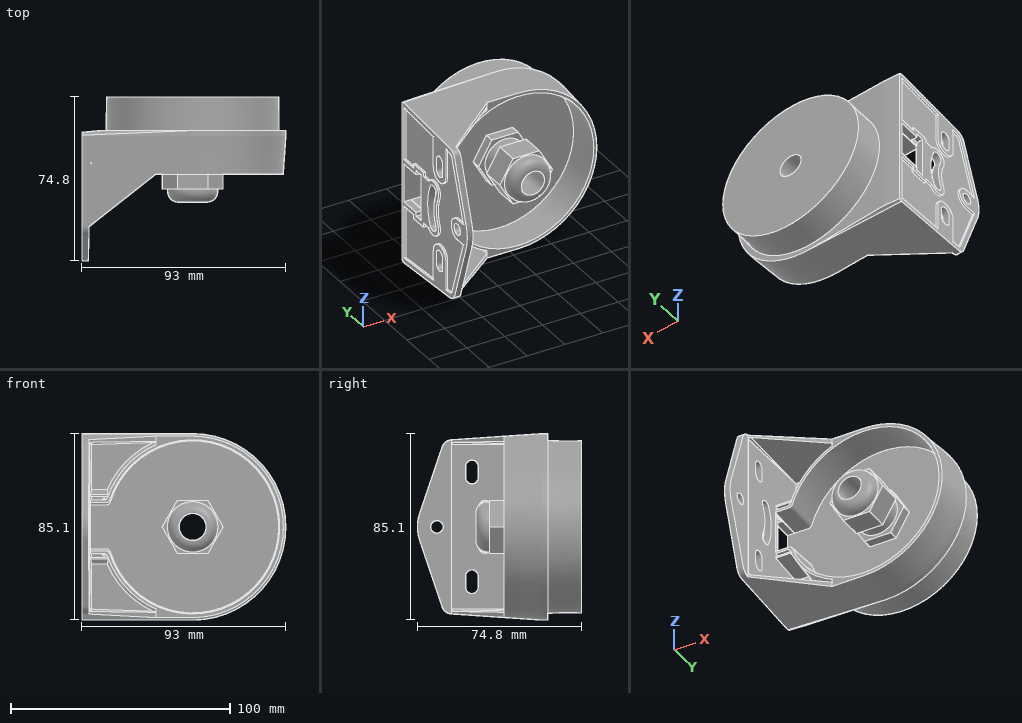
import cadquery as cq
import math


cup_radius = 42.545
back_radius = 42.45
plate_x = -50.5
seam_depth = 2.7
rim_depth = 20.0
body_slope = math.tan(math.radians(3.9))
bracket_depth = 59.5
end_radius = cup_radius - (bracket_depth - seam_depth) * body_slope
gusset_top_x = -16.8
gusset_end_depth = 43.9
plate_thickness = 3.3
plate_tip_thickness = 3.0
back_chamfer_depth = 0.8
back_chamfer_width = 8.5
edge_wedge_depth = 2.2
edge_wedge_height = 1.0

drum_length = 15.35
drum_root_radius = 39.45
drum_end_radius = 39.3

plate_corner_round = 5.0
plate_slant = math.radians(18.7)
plate_half_at_back = cup_radius + seam_depth * body_slope
nose_round = 19.0
plate_apex_depth = bracket_depth + nose_round * (1 / math.cos(plate_slant) - 1)
slant_slope = math.tan(plate_slant)
plate_corner_z = (plate_half_at_back - body_slope * plate_apex_depth) / (1 - body_slope * slant_slope)
plate_corner_depth = plate_apex_depth - plate_corner_z * slant_slope

floor_depth = seam_depth
bore_floor_radius = 39.2
bore_rim_radius = 39.7
rib_floor_radius = 42.5
rib_rim_radius = 41.0
channel_floor_half = 10.0
channel_rim_half = 11.0
channel_rib_half = 12.2
channel_round = 2.0
cavity_left_x = -46.0
channel_left_x = -46.7
cavity_left_half = 37.5
cavity_right_half = 38.5
cavity_draft = 1.5

guide_inner_z = 13.9
guide_rim_z = 14.7
guide_floor_z = 17.0
guide_end_x = -38.6

recess_depth = 1.0
land_width = 2.65
window_half = 10.0
window_end_depth = 17.8
notch_half = 12.1
notch_start_depth = 13.6
window_land_half = 12.4
notch_land_half = 14.5
notch_land_start = 11.2
notch_land_end = 20.2
slot_depth = 34.6
slot_z = 25.0
slot_length = 10.7
slot_width = 5.6
slot_land_width = 11.3
slot_land_round_z = 22.4
tip_hole_depth = 50.55
tip_hole_diameter = 5.6
tip_land_half = 5.4
kidney_radius = 22.6
kidney_mid_depth = 26.7
kidney_end_z = 9.2
kidney_width = 5.5
kidney_land_width = 10.2

gland_flats = 24.1
neck_radius = 10.5
lower_hex_end = 7.6
upper_hex_start = 14.75
upper_hex_end = 26.7
gland_end = 32.75
dome_radius = 11.5
dome_round = 5.0
gland_bore_radius = 6.1

OVERSIZE = 100.0
PICK_MARGIN = 1.0
WEDGE_END_SHARE = 0.01


def facing(depth):
    """Sketch plane at the given depth: local x = X, local y = Z, extrusion toward -Y."""
    return cq.Workplane("XZ", origin=(0, -depth, 0))


def plate_plane(x):
    """Sketch plane on the plate: local x = Y, local y = Z, extrusion toward +X."""
    return cq.Workplane("YZ", origin=(x, 0, 0))


def cone(start_depth, end_depth, start_radius, finish_radius):
    """Cone or cylinder about the cup axis between two depths."""
    profile = [(0, -start_depth), (start_radius, -start_depth), (finish_radius, -end_depth), (0, -end_depth)]
    return cq.Workplane("XY").polyline(profile).close().revolve(360, (0, 0, 0), (0, 1, 0))


def both_sides(shape):
    """The shape together with its mirror image across Z = 0."""
    return shape.union(shape.mirror("XY"))


def near(x, y, z, half_x, half_y, half_z):
    """Selector for edges centred inside a box of the given half sizes."""
    return cq.selectors.BoxSelector(
        (x - half_x, y - half_y, z - half_z),
        (x + half_x, y + half_y, z + half_z),
    )


def rounded_plate_prism(length):
    """Plate outline with rounded corners and nose, extruded from the outer face toward +X."""
    prism = plate_plane(plate_x).polyline([
        (0, -plate_half_at_back),
        (-plate_corner_depth, -plate_corner_z),
        (-plate_apex_depth, 0),
        (-plate_corner_depth, plate_corner_z),
        (0, plate_half_at_back),
    ]).close().extrude(length)
    middle_x = plate_x + length / 2
    corners = near(middle_x, -plate_corner_depth, 0, length, PICK_MARGIN, OVERSIZE)
    nose = near(middle_x, -plate_apex_depth, 0, length, PICK_MARGIN, PICK_MARGIN)
    prism = prism.edges("|X").edges(corners).fillet(plate_corner_round)
    return prism.edges("|X").edges(nose).fillet(nose_round)


def make_shell():
    side = [(0, back_radius), (-seam_depth, cup_radius), (-bracket_depth, end_radius)]
    mirrored_side = [(y, -z) for y, z in reversed(side)]
    straight_part = plate_plane(plate_x).polyline(side + mirrored_side).close().extrude(-plate_x)
    axis_points = [(-bracket_depth, 0), (0, 0)]
    round_part = cq.Workplane("YZ").polyline(side + axis_points).close().revolve(180, (0, 0, 0), (1, 0, 0))
    side_profile = cq.Workplane("XY").polyline([
        (plate_x, 0),
        (OVERSIZE, 0),
        (OVERSIZE, -rim_depth),
        (gusset_top_x, -rim_depth),
        (plate_x + plate_thickness, -gusset_end_depth),
        (plate_x + plate_tip_thickness, -OVERSIZE),
        (plate_x, -OVERSIZE),
    ]).close().extrude(OVERSIZE, both=True)
    shell = straight_part.union(round_part).intersect(side_profile)
    shell = shell.intersect(rounded_plate_prism(OVERSIZE))
    return shell.cut(back_edge_chamfer()).cut(both_sides(side_edge_wedge()))


def back_edge_chamfer():
    profile = [
        (plate_x, 0),
        (plate_x + back_chamfer_width, 0),
        (plate_x, -back_chamfer_depth),
    ]
    return cq.Workplane("XY").polyline(profile).close().extrude(OVERSIZE, both=True)


def side_edge_wedge():
    """Chamfer of the cup's back side edge, widest at the plate and vanishing where the round begins."""

    def section(x, share):
        corner = cq.Vector(x, 0, back_radius)
        step = cup_radius - back_radius
        inward = corner + cq.Vector(0, 0, -edge_wedge_height * share)
        slope_end = corner + cq.Vector(0, -edge_wedge_depth, step * edge_wedge_depth / seam_depth) * share
        outer = corner + cq.Vector(0, 1, 1) * share
        return cq.Wire.makePolygon([inward, slope_end, outer], close=True)

    return cq.Workplane(cq.Solid.makeLoft([section(plate_x, 1.0), section(0, WEDGE_END_SHARE)], True))


def guide_wall():
    """Drafted wall that leaves a narrow groove between itself and the channel rib."""
    profile = [
        (-floor_depth, guide_inner_z),
        (-floor_depth, guide_floor_z),
        (-rim_depth, guide_rim_z),
        (-rim_depth, guide_inner_z),
    ]
    return plate_plane(plate_x).polyline(profile).close().extrude(guide_end_x - plate_x)


def round_channel_mouth(shape):
    """Round the two concave edges where a straight channel meets a round body."""
    middle_depth = (floor_depth + rim_depth) / 2
    reach = bore_floor_radius / 2
    mouth = near(-bore_floor_radius, -middle_depth, 0, reach, PICK_MARGIN, 2 * channel_rib_half)
    return shape.edges(mouth).edges("not #Y").edges(">X").fillet(channel_round)


def channel_rib_solid():
    disc = cone(floor_depth, rim_depth, rib_floor_radius, rib_rim_radius)
    bar = facing(floor_depth).rect(-2 * plate_x, 2 * channel_rib_half).extrude(rim_depth - floor_depth)
    return round_channel_mouth(disc.union(bar))


def channel_cut():
    cross_section = [
        (-floor_depth, -channel_floor_half),
        (-floor_depth, channel_floor_half),
        (-rim_depth, channel_rim_half),
        (-rim_depth, -channel_rim_half),
    ]
    channel = plate_plane(channel_left_x).polyline(cross_section).close().extrude(-channel_left_x)
    bore = cone(floor_depth, rim_depth, bore_floor_radius, bore_rim_radius)
    return round_channel_mouth(channel.union(bore))


def make_cavity():
    """Everything removed from the shell: corner pockets, bore and channel, leaving the rib and guides.

    The solid rim to the right of the gussets limits the pockets down to the rim depth.
    """
    corner_space = facing(floor_depth).polyline([
        (cavity_left_x, -cavity_left_half),
        (cavity_left_x, cavity_left_half),
        (gusset_top_x, cavity_right_half),
        (gusset_top_x, -cavity_right_half),
    ]).close().extrude(bracket_depth, taper=-cavity_draft)
    solid_rim = facing(0).rect(-2 * gusset_top_x, OVERSIZE).extrude(rim_depth)
    pockets = corner_space.cut(solid_rim).cut(channel_rib_solid()).cut(both_sides(guide_wall()))
    return pockets.union(channel_cut())


def slot_land():
    round_end = plate_plane(plate_x).center(-slot_depth, slot_land_round_z).circle(slot_land_width / 2)
    straight = plate_plane(plate_x).center(-slot_depth, slot_land_round_z + cup_radius / 2)
    return round_end.extrude(recess_depth).union(
        straight.rect(slot_land_width, cup_radius).extrude(recess_depth)
    )


def depth_block(start_depth, end_depth, half_height, length):
    """Block starting on the plate's outer face, symmetric about Z = 0."""
    return (
        plate_plane(plate_x)
        .center(-(start_depth + end_depth) / 2, 0)
        .rect(end_depth - start_depth, 2 * half_height)
        .extrude(length)
    )


def kidney(width, length):
    """Slot of constant width swept along an arc that bulges toward the back of the cup."""
    half = width / 2
    centre_y = -kidney_mid_depth - kidney_radius
    end_angle = math.asin(kidney_end_z / kidney_radius)

    def point(radius, angle):
        return (centre_y + radius * math.cos(angle), radius * math.sin(angle))

    outer = kidney_radius + half
    inner = kidney_radius - half
    end_centre = point(kidney_radius, end_angle)
    tip = (end_centre[0] - half * math.sin(end_angle), end_centre[1] + half * math.cos(end_angle))
    return (
        plate_plane(plate_x)
        .moveTo(*point(outer, -end_angle))
        .threePointArc(point(outer, 0), point(outer, end_angle))
        .threePointArc(tip, point(inner, end_angle))
        .threePointArc(point(inner, 0), point(inner, -end_angle))
        .threePointArc((tip[0], -tip[1]), point(outer, -end_angle))
        .close()
        .extrude(length)
    )


def make_recess():
    """Shallow recess in the plate's outer face, leaving raised lands round the edge and openings."""
    edge = rounded_plate_prism(recess_depth).faces("<X").wires().val()
    inset_edge = edge.offset2D(-land_width)[0]
    recess = plate_plane(plate_x).add(inset_edge).toPending().extrude(recess_depth)
    window_land = depth_block(0, kidney_mid_depth, window_land_half, recess_depth)
    notch_land = depth_block(notch_land_start, notch_land_end, notch_land_half, recess_depth)
    tip_land = depth_block(tip_hole_depth, plate_apex_depth, tip_land_half, recess_depth).union(
        plate_plane(plate_x).center(-tip_hole_depth, 0).circle(tip_land_half).extrude(recess_depth)
    )
    for land in (window_land, notch_land, tip_land, kidney(kidney_land_width, recess_depth)):
        recess = recess.cut(land)
    return recess.cut(both_sides(slot_land()))


def make_openings():
    through = cavity_left_x - plate_x
    window = depth_block(floor_depth, window_end_depth, window_half, through)
    notch = depth_block(notch_start_depth, window_end_depth, notch_half, plate_thickness)
    slots = (
        plate_plane(plate_x)
        .pushPoints([(-slot_depth, -slot_z), (-slot_depth, slot_z)])
        .slot2D(slot_length, slot_width, 90)
        .extrude(through)
    )
    tip_hole = plate_plane(plate_x).center(-tip_hole_depth, 0).circle(tip_hole_diameter / 2).extrude(through)
    return window.union(notch).union(slots).union(tip_hole).union(kidney(kidney_width, through))


def make_gland():
    across_corners = gland_flats / math.cos(math.pi / 6)
    lower_hex = facing(floor_depth).polygon(6, across_corners).extrude(lower_hex_end - floor_depth)
    neck = cone(floor_depth, upper_hex_start, neck_radius, neck_radius)
    upper_hex = facing(upper_hex_start).polygon(6, across_corners).extrude(upper_hex_end - upper_hex_start)
    dome = cone(upper_hex_end, gland_end, dome_radius, dome_radius).faces("<Y").edges().fillet(dome_round)
    return lower_hex.union(neck).union(upper_hex).union(dome)


drum = cone(-drum_length, 0, drum_end_radius, drum_root_radius)
cable_bore = cone(-drum_length, gland_end, gland_bore_radius, gland_bore_radius)

bracket = make_shell().cut(make_cavity()).cut(make_recess()).cut(make_openings())
result = bracket.union(drum).union(make_gland()).cut(cable_bore)